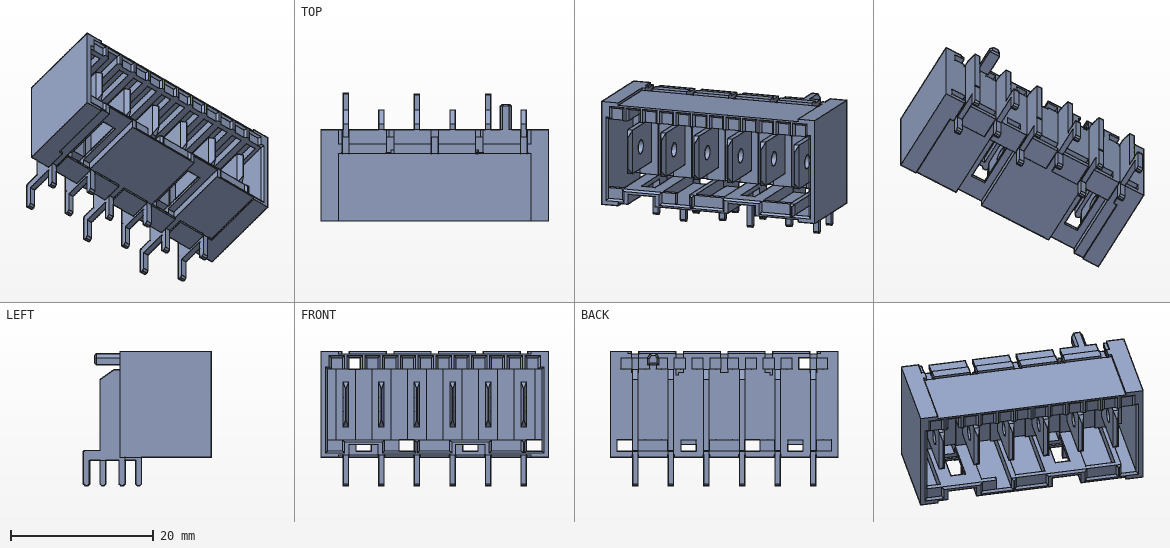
import cadquery as cq

WIDTH = 32.0
DEPTH = 12.85
HEIGHT = 14.9

SIDE_WALL = 0.95
CAVITY_FLOOR = 2.45
CAVITY_ROOF = 12.4
CAVITY_END = 10.0
MOUTH_CHAMFER = 0.3
CONTACT_BAY_WIDTH = 2.7
CONTACT_BAY_RISE = 0.32
BAY_FRONT = CAVITY_END - CONTACT_BAY_RISE
LAST_BAY_EXTRA = 0.25

NOTCH_COUNT = 12
NOTCH_PITCH = 2.5
NOTCH_WIDTH = 1.56
NOTCH_TOP = 14.0
OPEN_NOTCH = 1
CHANNEL_FLOOR = 0.9
CHANNELS = [(0.95, 3.05), (8.95, 13.1), (13.85, 18.1), (23.95, 28.15), (28.9, 31.05)]
CHANNEL_PLUGS = [(0.95, 3.05), (8.95, 11.0), (13.85, 18.1), (23.95, 28.15)]
PLUG_END = 1.0

RECESS_CENTERS = [6.0, 21.0]
RECESS_WIDTH = 4.1
RECESS_TOP = 1.8
RECESS_SLOT_WIDTH = 2.1
RECESS_SLOT_START = 2.7

RELIEF_DEPTH = 0.35
RELIEF_MARGIN = 2.5
RELIEF_END = 9.5
REAR_STRIP_START = 10.85
REAR_STRIP_DROP = 0.3
PAD_GAP = 1.05
PAD_PITCH = 6.27
PAD_GAP_COUNT = 5
BOTTOM_GAP = 0.9
GAP_POCKET_START = 11.8
GAP_POCKET_FLOOR = 11.9
GAP_STEP_WIDTH = 0.4
GAP_STEP_DEPTH = 0.3
STEPPED_GAPS = {1: -1, 3: 1}

CONTACT_COUNT = 6
CONTACT_PITCH = 5.0
CONTACT_THICKNESS = 0.77
BLADE_BOTTOM = 4.3
BLADE_TOP = 10.6
BLADE_TIP = 1.1
TIP_LENGTH = 0.95
TIP_INSET = 0.9
TIP_WIDTH = 0.1
HOLE_DIAMETER = 2.0
HOLE_Y = 5.35
PLATE_END = 15.65
PLATE_TOP = 12.35
PLATE_CHAMFER_Y = 2.0
PLATE_CHAMFER_Z = 1.4
FOOT_BOTTOM = -0.4
FOOT_TOP = 1.0
FOOT_END = 18.0
FOOT_CORNER = 0.15
LEG_WIDTH = 0.85
LEG_SPACING = 5.0
LEG_END = -4.0
LEG_CHAMFER = 0.27
INNER_CONTACT_SHIFT = 0.1

PEG_CENTER = 26.0
PEG_WIDTH = 1.6
PEG_BOTTOM = 13.0
PEG_TOP = HEIGHT - REAR_STRIP_DROP
PEG_SHOULDER = 13.95
PEG_END = 16.4
PEG_TIP_CHAMFER = 0.25
PEG_LEFT_BEVEL = 0.3
PEG_RIGHT_BEVEL = 0.4

CONTACT_SPAN = (CONTACT_COUNT - 1) * CONTACT_PITCH
CONTACT_XS = [(WIDTH - CONTACT_SPAN) / 2 + i * CONTACT_PITCH for i in range(CONTACT_COUNT)]
NOTCH_SPAN = (NOTCH_COUNT - 1) * NOTCH_PITCH
NOTCH_XS = [(WIDTH - NOTCH_SPAN) / 2 + i * NOTCH_PITCH for i in range(NOTCH_COUNT)]
PAD_GAP_XS = [WIDTH / 2 + (i - (PAD_GAP_COUNT - 1) / 2) * PAD_PITCH for i in range(PAD_GAP_COUNT)]
CAVITY_MIDDLE = (CAVITY_FLOOR + CAVITY_ROOF) / 2


def block(x0, x1, y0, y1, z0, z1):
    """Axis-aligned block between two corners."""
    return cq.Workplane("XY").box(x1 - x0, y1 - y0, z1 - z0, centered=False).translate((x0, y0, z0))


def flared_mouth(x0, x1, z0, z1):
    """Chamfered entry that narrows from the mating face to the given opening."""
    flare = MOUTH_CHAMFER
    center_x = (x0 + x1) / 2
    center_z = (z0 + z1) / 2
    return (
        cq.Workplane("XZ")
        .center(center_x, center_z)
        .rect(x1 - x0 + 2 * flare, z1 - z0 + 2 * flare)
        .workplane(offset=-flare)
        .rect(x1 - x0, z1 - z0)
        .loft(combine=True)
    )


def cut_cavity(body):
    """Main cavity with a chamfered mouth and raised bays around the contacts."""
    right = WIDTH - SIDE_WALL
    cavity = block(SIDE_WALL, right, 0, CAVITY_END, CAVITY_FLOOR, CAVITY_ROOF)
    for i, x in enumerate(CONTACT_XS):
        extra = LAST_BAY_EXTRA if i == CONTACT_COUNT - 1 else 0
        cavity = cavity.cut(
            block(
                x - CONTACT_BAY_WIDTH / 2, x + CONTACT_BAY_WIDTH / 2 + extra,
                BAY_FRONT, CAVITY_END, CAVITY_FLOOR, CAVITY_ROOF,
            )
        )
    lower_mouth = flared_mouth(SIDE_WALL, right, CAVITY_FLOOR, CAVITY_ROOF - MOUTH_CHAMFER)
    body = body.cut(cavity).cut(lower_mouth)
    shoulder = NOTCH_XS[0] - NOTCH_WIDTH / 2
    for x0, x1 in [(SIDE_WALL, shoulder), (WIDTH - shoulder, right)]:
        body = body.cut(flared_mouth(x0, x1, CAVITY_MIDDLE, CAVITY_ROOF))
    return body


def cut_notches(body):
    """Row of coding notches along the roof; all but one are plugged near the mouth."""
    for i, x in enumerate(NOTCH_XS):
        x0 = x - NOTCH_WIDTH / 2
        x1 = x + NOTCH_WIDTH / 2
        body = body.cut(block(x0, x1, 0, DEPTH, CAVITY_ROOF, NOTCH_TOP))
        body = body.cut(flared_mouth(x0, x1, CAVITY_ROOF, NOTCH_TOP))
        if i != OPEN_NOTCH:
            body = body.union(block(x0, x1, MOUTH_CHAMFER, PLUG_END, CAVITY_ROOF, NOTCH_TOP))
    return body


def cut_channels(body):
    """Coding channels in the floor, with plugs closing most of them near the mouth."""
    for x0, x1 in CHANNELS:
        body = body.cut(block(x0, x1, 0, DEPTH, CHANNEL_FLOOR, CAVITY_FLOOR))
        body = body.cut(flared_mouth(x0, x1, CHANNEL_FLOOR, CAVITY_FLOOR))
    for x0, x1 in CHANNEL_PLUGS:
        body = body.union(block(x0, x1, MOUTH_CHAMFER, PLUG_END, CHANNEL_FLOOR, CAVITY_FLOOR))
    return body


def cut_recesses(body):
    """Recesses open at the front and underside, each with a slot running out at the rear."""
    for x in RECESS_CENTERS:
        half = RECESS_WIDTH / 2
        slot_half = RECESS_SLOT_WIDTH / 2
        body = body.cut(block(x - half, x + half, 0, CAVITY_END, RELIEF_DEPTH, RECESS_TOP))
        body = body.cut(block(x - half, x + half, 0, BAY_FRONT, 0, RELIEF_DEPTH))
        body = body.cut(
            block(x - slot_half, x + slot_half, RECESS_SLOT_START, DEPTH, CHANNEL_FLOOR, CAVITY_FLOOR)
        )
    return body


def cut_reliefs(body):
    """Shallow top and bottom reliefs, a slightly lower rear strip and gaps between the rear pads."""
    left = RELIEF_MARGIN
    right = WIDTH - RELIEF_MARGIN
    relief_z = HEIGHT - RELIEF_DEPTH
    body = body.cut(block(left, right, 0, RELIEF_END, relief_z, HEIGHT))
    body = body.cut(block(left, right, 0, BAY_FRONT, 0, RELIEF_DEPTH))
    body = body.cut(block(left, right, REAR_STRIP_START, DEPTH, HEIGHT - REAR_STRIP_DROP, HEIGHT))
    for i, x in enumerate(PAD_GAP_XS):
        x0 = x - PAD_GAP / 2
        x1 = x + PAD_GAP / 2
        body = body.cut(block(x0, x1, RELIEF_END, DEPTH, NOTCH_TOP, HEIGHT))
        body = body.cut(block(x0, x1, GAP_POCKET_START, DEPTH, GAP_POCKET_FLOOR, NOTCH_TOP))
        if i in STEPPED_GAPS:
            outer = x + STEPPED_GAPS[i] * PAD_GAP / 2
            inner = outer - STEPPED_GAPS[i] * GAP_STEP_WIDTH
            step_floor = GAP_POCKET_FLOOR - GAP_STEP_DEPTH
            body = body.cut(
                block(
                    min(inner, outer), max(inner, outer),
                    GAP_POCKET_START, DEPTH, step_floor, GAP_POCKET_FLOOR,
                )
            )
    for x in CONTACT_XS:
        body = body.cut(block(x - BOTTOM_GAP / 2, x + BOTTOM_GAP / 2, BAY_FRONT, DEPTH, 0, RELIEF_DEPTH))
    return body


def make_housing():
    body = block(0, WIDTH, 0, DEPTH, 0, HEIGHT)
    body = cut_cavity(body)
    body = cut_notches(body)
    body = cut_channels(body)
    body = cut_recesses(body)
    return cut_reliefs(body)


def make_blade(x):
    """Flat mating blade along Y with a tapered tip and a round cross hole."""
    middle = (BLADE_BOTTOM + BLADE_TOP) / 2
    height = BLADE_TOP - BLADE_BOTTOM
    shank_start = BLADE_TIP + TIP_LENGTH
    half = CONTACT_THICKNESS / 2
    shank = block(x - half, x + half, shank_start, CAVITY_END, BLADE_BOTTOM, BLADE_TOP)
    tip = (
        cq.Workplane("XZ", origin=(x, BLADE_TIP, middle))
        .rect(TIP_WIDTH, height - 2 * TIP_INSET)
        .workplane(offset=-TIP_LENGTH)
        .rect(CONTACT_THICKNESS, height)
        .loft(combine=True)
    )
    hole = (
        cq.Workplane("YZ", origin=(x - half, HOLE_Y, middle))
        .circle(HOLE_DIAMETER / 2)
        .extrude(CONTACT_THICKNESS)
    )
    return shank.union(tip).cut(hole)


def make_leg(x, rear):
    """Solder leg whose rear edge lies at the given Y."""
    half = CONTACT_THICKNESS / 2
    leg = block(x - half, x + half, rear - LEG_WIDTH, rear, LEG_END, FOOT_BOTTOM)
    return leg.faces("<Z").edges("|X").chamfer(LEG_CHAMFER)


def make_tail(x, foot_rear):
    """Upright plate behind the housing with a foot bar and two solder legs."""
    half = CONTACT_THICKNESS / 2
    plate = (
        cq.Workplane("YZ", origin=(x - half, 0, 0))
        .moveTo(GAP_POCKET_START, FOOT_TOP)
        .lineTo(PLATE_END, FOOT_TOP)
        .lineTo(PLATE_END, PLATE_TOP - PLATE_CHAMFER_Z)
        .lineTo(PLATE_END - PLATE_CHAMFER_Y, PLATE_TOP)
        .lineTo(GAP_POCKET_START, PLATE_TOP)
        .close()
        .extrude(CONTACT_THICKNESS)
    )
    foot_front = foot_rear - LEG_SPACING - LEG_WIDTH
    foot = block(x - half, x + half, foot_front, foot_rear, FOOT_BOTTOM, FOOT_TOP)
    foot = foot.edges("|X and >Y and >Z").chamfer(FOOT_CORNER)
    tail = plate.union(foot)
    for rear in (foot_rear, foot_rear - LEG_SPACING):
        tail = tail.union(make_leg(x, rear))
    return tail


def make_contact(index):
    """Contacts alternate between a long foot and a short foot ending at the plate."""
    x = CONTACT_XS[index]
    foot_rear = PLATE_END
    if index % 2 == 0:
        foot_rear = FOOT_END if index == 0 else FOOT_END - INNER_CONTACT_SHIFT
    return make_blade(x).union(make_tail(x, foot_rear))


def make_peg():
    """Locating peg with two unequal upper bevels and a chamfered end."""
    left = PEG_CENTER - PEG_WIDTH / 2
    right = PEG_CENTER + PEG_WIDTH / 2
    return (
        cq.Workplane("XZ", origin=(0, DEPTH, 0))
        .moveTo(left, PEG_BOTTOM)
        .lineTo(right, PEG_BOTTOM)
        .lineTo(right, PEG_SHOULDER)
        .lineTo(right - PEG_RIGHT_BEVEL, PEG_TOP)
        .lineTo(left + PEG_LEFT_BEVEL, PEG_TOP)
        .lineTo(left, PEG_SHOULDER)
        .close()
        .extrude(DEPTH - PEG_END)
        .faces(">Y")
        .chamfer(PEG_TIP_CHAMFER)
    )


result = make_housing().union(make_peg())
for contact_index in range(CONTACT_COUNT):
    result = result.union(make_contact(contact_index))